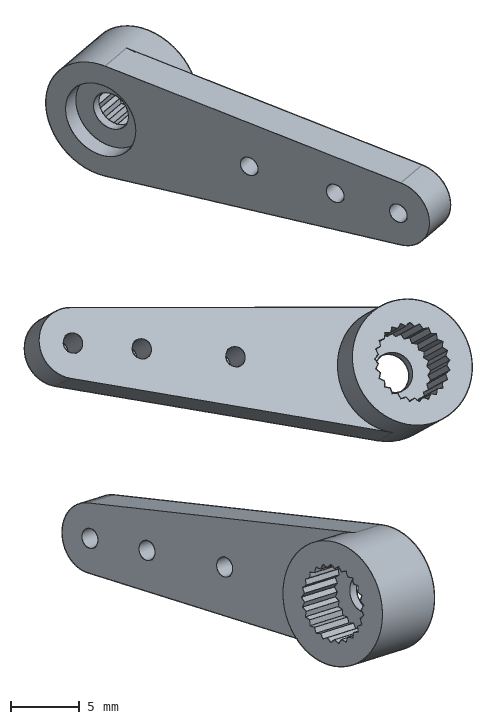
import cadquery as cq
import math

length = 32.75
hub_diameter = 9.4
hub_radius = hub_diameter / 2
tip_radius = 2.65
hub_width = 6.0
arm_thickness = hub_width / 2
hub_x = hub_radius
tip_x = length - tip_radius

recess_diameter = 6.0
recess_depth = 1.45
screw_hole_diameter = 2.98
web_thickness = 0.8

tooth_count = 25
socket_root_radius = 2.95
socket_crest_radius = 2.7
socket_start = recess_depth + web_thickness

link_hole_diameter = 1.5
link_hole_offsets = (12.67, 20.0, tip_x - hub_x)


def cylinder(x, diameter, start, depth):
    """Cylinder along +Y, centred on the arm's length axis."""
    plane = cq.Workplane("XZ", origin=(x, start, 0))
    return plane.circle(diameter / 2).extrude(-depth)


def make_arm():
    """Tapered plate with a round tip, its straight sides tangent to tip and hub."""
    taper_sine = (hub_radius - tip_radius) / (tip_x - hub_x)
    taper_cosine = math.sqrt(1 - taper_sine**2)
    hub_tangent_x = hub_x + hub_radius * taper_sine
    hub_tangent_z = hub_radius * taper_cosine
    tip_tangent_x = tip_x + tip_radius * taper_sine
    tip_tangent_z = tip_radius * taper_cosine
    return (
        cq.Workplane("XZ")
        .moveTo(hub_tangent_x, hub_tangent_z)
        .lineTo(tip_tangent_x, tip_tangent_z)
        .threePointArc((length, 0), (tip_tangent_x, -tip_tangent_z))
        .lineTo(hub_tangent_x, -hub_tangent_z)
        .close()
        .extrude(-arm_thickness)
    )


def make_socket():
    """Socket cutter with V-shaped teeth alternating between root and crest."""
    half_pitch = math.pi / tooth_count
    points = []
    for step in range(2 * tooth_count):
        radius = socket_crest_radius if step % 2 else socket_root_radius
        angle = step * half_pitch
        points.append((radius * math.cos(angle), radius * math.sin(angle)))
    plane = cq.Workplane("XZ", origin=(hub_x, socket_start, 0))
    return plane.polyline(points).close().extrude(socket_start - hub_width)


result = cylinder(hub_x, hub_diameter, 0, hub_width).union(make_arm())
result = result.cut(cylinder(hub_x, recess_diameter, 0, recess_depth))
result = result.cut(cylinder(hub_x, screw_hole_diameter, 0, hub_width))
result = result.cut(make_socket())
for offset in link_hole_offsets:
    result = result.cut(cylinder(hub_x + offset, link_hole_diameter, 0, arm_thickness))